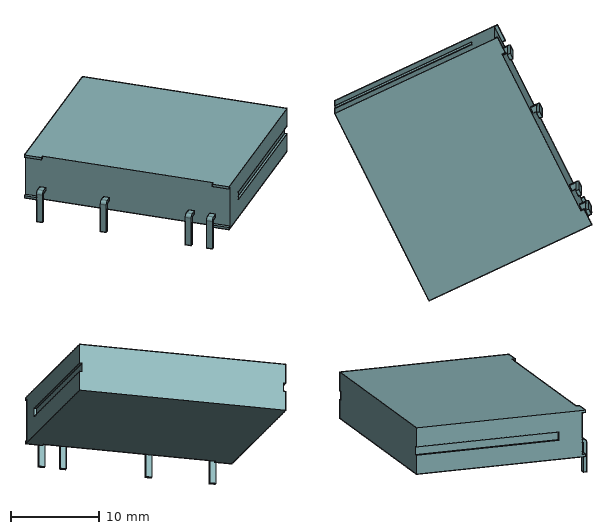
import cadquery as cq

housing_width = 24.5
housing_depth = 20.11
housing_height = 5.5

lip_length = 2.03
lip_thickness = 0.3
lip_reach = 0.4

slot_height = 0.98
slot_length = 17.25
slot_depth = 0.3

outer_pin_x = 10.17
pin_pitch = outer_pin_x / 4
pin_pitch_steps = (-4, -1, 3, 4)
pin_width = 0.7
pin_thickness = 0.4
pin_reach = 1.18
pin_top = 1.55
pin_drop = 2.35


def min_corner_box(size, corner):
    """Box of the given size with its smallest X, Y and Z at the corner."""
    return cq.Workplane("XY").box(*size, centered=False).translate(corner)


def make_housing():
    """Block with four front corner lips and a slot in each side."""
    half_width = housing_width / 2
    body = min_corner_box(
        (housing_width, housing_depth, housing_height), (-half_width, 0, 0)
    )

    lip_size = (lip_length, lip_reach, lip_thickness)
    for lip_x in (-half_width, half_width - lip_length):
        for lip_z in (0, housing_height - lip_thickness):
            body = body.union(min_corner_box(lip_size, (lip_x, -lip_reach, lip_z)))

    slot_size = (slot_depth, slot_length, slot_height)
    slot_y = housing_depth - slot_length
    slot_z = (housing_height - slot_height) / 2
    for slot_x in (-half_width, half_width - slot_depth):
        body = body.cut(min_corner_box(slot_size, (slot_x, slot_y, slot_z)))
    return body


def make_pin(center_x):
    """L-shaped pin that butts against the front face, rounded outside its bend."""
    bend_y = pin_thickness - pin_reach
    bend_z = pin_top - pin_thickness
    return (
        cq.Workplane("YZ")
        .moveTo(0, pin_top)
        .lineTo(bend_y, pin_top)
        .radiusArc((-pin_reach, bend_z), -pin_thickness)
        .lineTo(-pin_reach, -pin_drop)
        .lineTo(bend_y, -pin_drop)
        .lineTo(bend_y, bend_z)
        .lineTo(0, bend_z)
        .close()
        .extrude(pin_width / 2, both=True)
        .translate((center_x, 0, 0))
    )


housing = make_housing()
pins = [make_pin(step * pin_pitch) for step in pin_pitch_steps]

result = cq.Compound.makeCompound([housing.val(), *[pin.val() for pin in pins]])